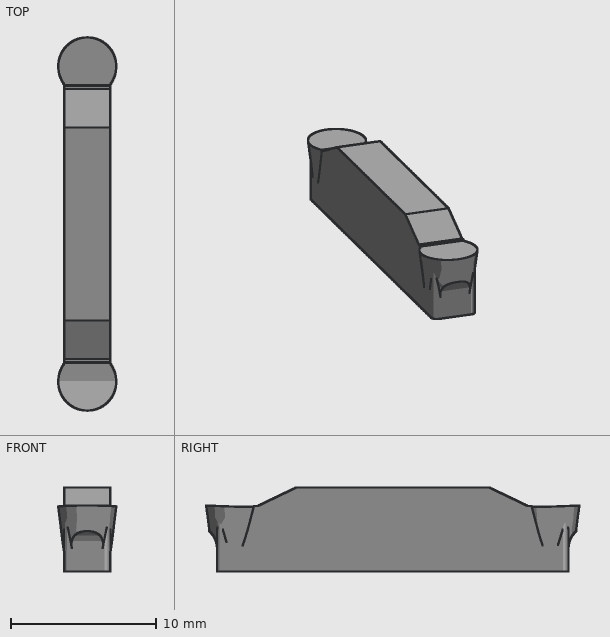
import cadquery as cq
import math

half_length = 12.85
total_height = 5.79

bar_width = 3.2
bar_half_length = 12.11
bar_corner_radius = 0.4
ramp_top_y = 6.65
ramp_bottom_y = 9.28
ledge_end_y = 9.52
step_end_y = 9.57
ledge_height = 4.53

head_radius = 2.0
seat_height = 4.48
tip_height = 4.55
relief_angle = 7.0
relief_slope = math.tan(math.radians(relief_angle))
tip_radius = head_radius + (tip_height - seat_height) * relief_slope
head_center_y = half_length - tip_radius
head_bottom = 0.77

blend_start_height = 1.62
blend_radius = 1.55


def make_bar():
    """Long rectangular bar with rounded vertical corners."""
    bar = cq.Workplane("XY").box(
        bar_width, 2 * bar_half_length, total_height, centered=(True, True, False)
    )
    return bar.edges("|Z").fillet(bar_corner_radius)


def make_head():
    """Tapered head at +Y: an arc closed by two tangent lines that meet inside the bar."""
    radius = tip_radius
    corner_x = bar_width / 2
    corner_back = head_center_y - step_end_y
    corner_distance = math.hypot(corner_x, corner_back)
    tangent_angle = math.atan2(corner_back, corner_x) - math.acos(head_radius / corner_distance)
    tangent_x = radius * math.cos(tangent_angle)
    tangent_y = head_center_y - radius * math.sin(tangent_angle)
    apex_y = head_center_y - radius / math.sin(tangent_angle)
    return (
        cq.Workplane("XY", origin=(0, 0, tip_height))
        .moveTo(0, apex_y)
        .lineTo(tangent_x, tangent_y)
        .threePointArc((0, half_length), (-tangent_x, tangent_y))
        .close()
        .extrude(head_bottom - tip_height, taper=relief_angle)
    )


def side_prism(profile):
    """Extrude a closed YZ profile across the full width of the part."""
    return profile.extrude(head_radius * 2, both=True)


def make_underside_cut():
    """Space outside the bar end, below the concave blend."""
    blend_center_y = bar_half_length + blend_radius
    diagonal = blend_radius * math.sqrt(0.5)
    profile = (
        cq.Workplane("YZ")
        .moveTo(bar_half_length, 0)
        .lineTo(bar_half_length, blend_start_height)
        .threePointArc(
            (blend_center_y - diagonal, blend_start_height + diagonal),
            (blend_center_y, blend_start_height + blend_radius),
        )
        .lineTo(blend_center_y, 0)
        .close()
    )
    return side_prism(profile)


def make_top_cut():
    """Space above the ramp, ledge, seat and rising tip at +Y."""
    profile = cq.Workplane("YZ").polyline(
        [
            (ramp_top_y, total_height),
            (ramp_bottom_y, ledge_height),
            (ledge_end_y, ledge_height),
            (step_end_y, seat_height),
            (head_center_y, seat_height),
            (half_length, tip_height),
            (half_length, total_height),
        ]
    ).close()
    return side_prism(profile)


def mirrored_pair(solid):
    """The solid at +Y together with its mirror image at -Y."""
    return solid.union(solid.mirror("XZ"))


heads = mirrored_pair(make_head().cut(make_underside_cut()))
top_cuts = mirrored_pair(make_top_cut())
result = make_bar().union(heads).cut(top_cuts)